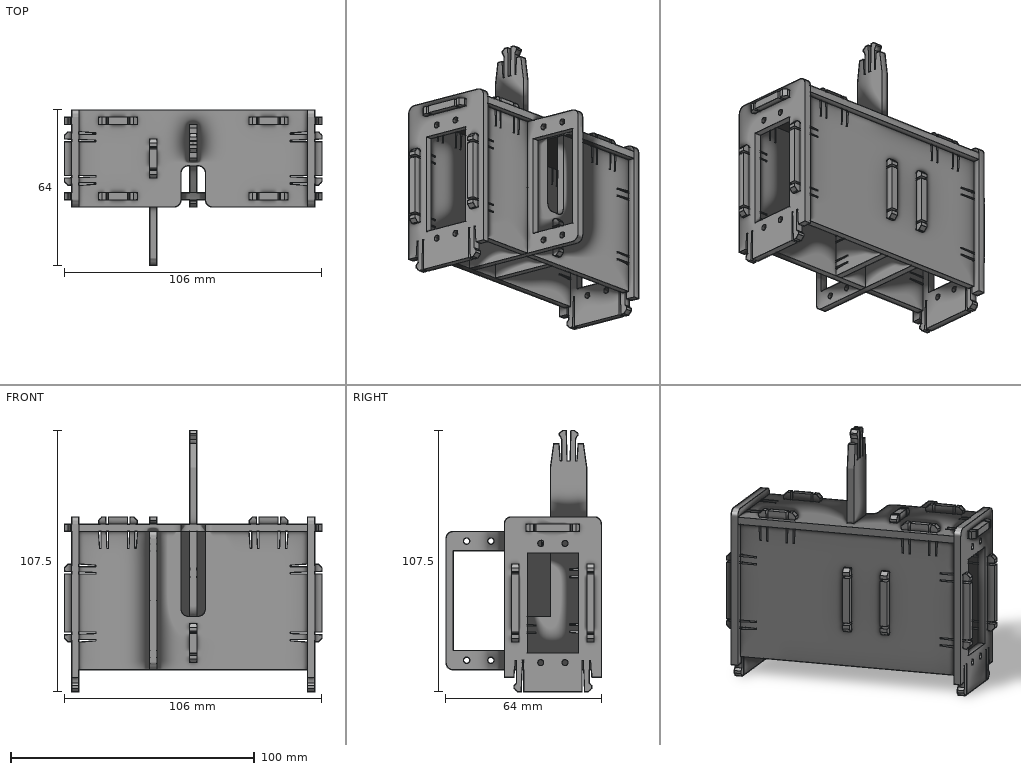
import cadquery as cq


PLATE = 3.0
INNER_LENGTH = 94.0
DEPTH = 40.0
WALL_HEIGHT = 57.0
WALL_INSET = PLATE
CORNER_RADIUS = 3.0
MID_DEPTH = DEPTH / 2
INNER_FRONT = WALL_INSET + PLATE
INNER_BACK = DEPTH - INNER_FRONT
WALL_CENTERS = (WALL_INSET + PLATE / 2, DEPTH - WALL_INSET - PLATE / 2)
END_CENTER = INNER_LENGTH / 2 + PLATE / 2
END_OVERHANG = PLATE
END_BOTTOM = -END_OVERHANG
END_TOP = WALL_HEIGHT + PLATE + END_OVERHANG

TAB_REACH = 2 * PLATE
TAB_ROOT = 7.0
PRONG_ZONE = 3.0
SLIT_ROOT = 0.5
SLIT_MOUTH = 1.0
BARB_REACH = 1.0
BARB_BEVEL = 0.49
BARB_NOSE = 1.5
BARB_BACK = 2.6
BARB_END = 3.7
SLOT_GAP = BARB_REACH * (BARB_END - PLATE) / (BARB_END - BARB_BACK)

WALL_END_TAB = 30.0
END_FOOT_TAB = WALL_END_TAB
BACK_TAB = 25.0
LID_END_TAB = 20.0
SMALL_TAB = 14.0
END_CENTER_Z = 27.5
LID_TAB_X = 31.0

CHANNEL_WIDTH = 10.0
CHANNEL_DEPTH = 17.0
CHANNEL_FLOOR = 22.0

SERVO_WIDTH = 21.0
SERVO_HEIGHT = 41.0
SCREW_PITCH = 10.0
SCREW_SPAN = 49.0
SCREW_DIAMETER = 2.5
BRACKET_X = -16.5
BRACKET_REACH = 24.0
BRACKET_RIM = 3.0

ARM_WIDTH = 15.0
ARM_TOP = 98.5
ARM_TAPER_DROP = 15.4
ARM_ROOT_DROP = 12.5
ARM_SHOULDER_DROP = 5.4
ARM_NOSE_DROP = 1.2
ARM_BACK_DROP = 1.8
ARM_KNEE_DROP = 2.6
ARM_END_DROP = 3.7
ARM_SHOULDER_HALF = 6.1
ARM_PRONG_HALF = 2.9
ARM_KNEE_HALF = 3.3
ARM_SLIT_TIP_HALF = 0.9
ARM_SLIT_ROOT_HALF = 0.58

X_AXIS = cq.Vector(1, 0, 0)
Y_AXIS = cq.Vector(0, 1, 0)
Z_AXIS = cq.Vector(0, 0, 1)


def block(x_range, y_range, z_range):
    """A box given by its limits along each axis."""
    limits = (x_range, y_range, z_range)
    size = [high - low for low, high in limits]
    middle = tuple((high + low) / 2 for low, high in limits)
    return cq.Workplane().box(*size).translate(middle)


def plate_x(x, y_range, z_range):
    """A plate square to X, centred at x."""
    return block((x - PLATE / 2, x + PLATE / 2), y_range, z_range)


def tab_plane(tab):
    """Local plane of a tab: origin mid-edge, x along the edge, y outward."""
    edge, outward, normal, _ = tab
    return cq.Workplane(cq.Plane(edge, outward.cross(normal), normal))


def add_tab(panel, tab):
    """Give a plate a snap tab: a solid middle between two barbed prongs."""
    width = tab[3]
    outer = width / 2
    middle = outer - PRONG_ZONE
    plane = tab_plane(tab)
    half = PLATE / 2
    solid_part = plane.center(0, TAB_REACH / 2).rect(2 * middle, TAB_REACH).extrude(half, both=True)
    panel = panel.union(solid_part)
    for side in (-1, 1):
        relief = [
            (middle, -TAB_ROOT),
            (outer + SLIT_ROOT, -TAB_ROOT),
            (outer + SLIT_MOUTH, 0),
            (middle, 0),
        ]
        prong = [
            (middle + SLIT_ROOT, -TAB_ROOT),
            (outer, -TAB_ROOT),
            (outer, TAB_REACH - BARB_END),
            (outer + BARB_REACH, TAB_REACH - BARB_BACK),
            (outer + BARB_REACH, TAB_REACH - BARB_NOSE),
            (outer - BARB_BEVEL, TAB_REACH),
            (middle + SLIT_MOUTH, TAB_REACH),
        ]
        panel = panel.cut(prism(plane, relief, side))
        panel = panel.union(prism(plane, prong, side))
    return panel


def prism(plane, points, side):
    """A plate-thick prism; side -1 mirrors its outline across the local y axis."""
    outline = [(side * u, v) for u, v in points]
    return plane.polyline(outline).close().extrude(PLATE / 2, both=True)


def cut_tab_slot(panel, tab):
    """Cut the opening through which a neighbouring plate's tab passes."""
    length = tab[3] + 2 * SLOT_GAP
    opening = tab_plane(tab).center(0, PLATE / 2).rect(length, PLATE).extrude(PLATE / 2, both=True)
    return panel.cut(opening)


def cut_servo_screws(panel, x, center_y, center_z):
    """Drill the four servo screw holes through a plate square to X."""
    holes = (
        cq.Workplane("YZ", origin=(x, center_y, center_z))
        .rect(SCREW_PITCH, SCREW_SPAN, forConstruction=True)
        .vertices()
        .circle(SCREW_DIAMETER / 2)
        .extrude(PLATE / 2, both=True)
    )
    return panel.cut(holes)


def wall_end_tab(side, y):
    return (cq.Vector(side * INNER_LENGTH / 2, y, END_CENTER_Z), X_AXIS * side, Y_AXIS, WALL_END_TAB)


def wall_lid_tab(side, y):
    return (cq.Vector(side * LID_TAB_X, y, WALL_HEIGHT), Z_AXIS, Y_AXIS, SMALL_TAB)


def lid_end_tab(side):
    edge = cq.Vector(side * INNER_LENGTH / 2, MID_DEPTH, WALL_HEIGHT + PLATE / 2)
    return (edge, X_AXIS * side, Z_AXIS, LID_END_TAB)


def end_foot_tab(side):
    return (cq.Vector(side * END_CENTER, MID_DEPTH, END_BOTTOM), -Z_AXIS, X_AXIS, END_FOOT_TAB)


def back_tab(x):
    return (cq.Vector(x, INNER_BACK, WALL_HEIGHT / 2), Y_AXIS, X_AXIS, BACK_TAB)


BRACKET_LID_TAB = (cq.Vector(BRACKET_X, MID_DEPTH, WALL_HEIGHT), Z_AXIS, X_AXIS, SMALL_TAB)
DIVIDER_FRONT_TAB = (cq.Vector(0, INNER_FRONT, CHANNEL_FLOOR / 2), -Y_AXIS, X_AXIS, SMALL_TAB)

ARM_RANGE = (INNER_BACK - ARM_WIDTH, INNER_BACK)


def make_wall(y):
    """A plain front or back wall with its end and lid tabs."""
    half_length = INNER_LENGTH / 2
    wall = block((-half_length, half_length), (y - PLATE / 2, y + PLATE / 2), (0, WALL_HEIGHT))
    for side in (-1, 1):
        wall = add_tab(wall, wall_end_tab(side, y))
        wall = add_tab(wall, wall_lid_tab(side, y))
    return wall


def make_front_wall():
    """Wall with the round-cornered channel, divider slot and bracket half-lap."""
    y_range = (WALL_INSET, INNER_FRONT)
    half_channel = CHANNEL_WIDTH / 2
    channel = block((-half_channel, half_channel), y_range, (CHANNEL_FLOOR, WALL_HEIGHT))
    channel = channel.edges("|Y and <Z").fillet(CORNER_RADIUS)
    wall = make_wall(WALL_CENTERS[0]).cut(channel)
    wall = cut_tab_slot(wall, DIVIDER_FRONT_TAB)
    return wall.cut(plate_x(BRACKET_X, y_range, (0, WALL_HEIGHT / 2)))


def make_back_wall():
    """Wall with slots for the bracket and the divider."""
    wall = make_wall(WALL_CENTERS[1])
    for x in (BRACKET_X, 0):
        wall = cut_tab_slot(wall, back_tab(x))
    return wall


def make_lid():
    """Top plate with the flared channel, tab slots and the arm opening."""
    z_range = (WALL_HEIGHT, WALL_HEIGHT + PLATE)
    half_length = INNER_LENGTH / 2
    half_channel = CHANNEL_WIDTH / 2
    lid = block((-half_length, half_length), (0, DEPTH), z_range)
    channel = block((-half_channel, half_channel), (0, CHANNEL_DEPTH), z_range)
    lid = lid.cut(channel.edges("|Z and >Y").fillet(CORNER_RADIUS))
    mouth = cq.selectors.BoxSelector(
        (-CHANNEL_WIDTH, -PLATE, WALL_HEIGHT - PLATE),
        (CHANNEL_WIDTH, PLATE, WALL_HEIGHT + 2 * PLATE),
    )
    lid = lid.edges("|Z").edges(mouth).fillet(CORNER_RADIUS)
    lid = cut_tab_slot(lid, BRACKET_LID_TAB)
    for side in (-1, 1):
        lid = add_tab(lid, lid_end_tab(side))
        for y in WALL_CENTERS:
            lid = cut_tab_slot(lid, wall_lid_tab(side, y))
    return lid.cut(plate_x(0, ARM_RANGE, z_range))


def make_end_plate(side):
    """End plate with a servo opening, slots for its neighbours and a foot tab."""
    x = side * END_CENTER
    plate = plate_x(x, (0, DEPTH), (END_BOTTOM, END_TOP))
    plate = plate.edges("|X and >Z").fillet(CORNER_RADIUS)
    opening = plate_x(
        x,
        (MID_DEPTH - SERVO_WIDTH / 2, MID_DEPTH + SERVO_WIDTH / 2),
        (END_CENTER_Z - SERVO_HEIGHT / 2, END_CENTER_Z + SERVO_HEIGHT / 2),
    )
    plate = plate.cut(opening)
    plate = cut_servo_screws(plate, x, MID_DEPTH, END_CENTER_Z)
    for y in WALL_CENTERS:
        plate = cut_tab_slot(plate, wall_end_tab(side, y))
    plate = cut_tab_slot(plate, lid_end_tab(side))
    return add_tab(plate, end_foot_tab(side))


def make_bracket():
    """Plate across the box that carries a servo in front of it."""
    bracket = plate_x(BRACKET_X, (-BRACKET_REACH, INNER_BACK), (0, WALL_HEIGHT))
    bracket = bracket.edges("|X and <Y").fillet(CORNER_RADIUS)
    opening_front = BRACKET_RIM - BRACKET_REACH
    center_z = WALL_HEIGHT / 2
    opening = plate_x(
        BRACKET_X,
        (opening_front, opening_front + SERVO_WIDTH),
        (center_z - SERVO_HEIGHT / 2, center_z + SERVO_HEIGHT / 2),
    )
    bracket = bracket.cut(opening)
    bracket = cut_servo_screws(bracket, BRACKET_X, opening_front + SERVO_WIDTH / 2, center_z)
    bracket = bracket.cut(plate_x(BRACKET_X, (WALL_INSET, INNER_FRONT), (WALL_HEIGHT / 2, WALL_HEIGHT)))
    bracket = add_tab(bracket, back_tab(BRACKET_X))
    return add_tab(bracket, BRACKET_LID_TAB)


def make_arm():
    """Upright arm that ends in two barbed prongs between two tapered shoulders."""
    arm_half = ARM_WIDTH / 2
    root = ARM_TOP - ARM_ROOT_DROP
    shoulder = ARM_TOP - ARM_SHOULDER_DROP
    barb_half = ARM_PRONG_HALF + BARB_REACH
    right_side = [
        (arm_half, 0),
        (arm_half, ARM_TOP - ARM_TAPER_DROP),
        (ARM_SHOULDER_HALF, shoulder),
        (ARM_PRONG_HALF + SLIT_MOUTH, shoulder),
        (ARM_PRONG_HALF + SLIT_ROOT, root),
        (ARM_PRONG_HALF, root),
        (ARM_PRONG_HALF, ARM_TOP - ARM_END_DROP),
        (ARM_KNEE_HALF, ARM_TOP - ARM_KNEE_DROP),
        (barb_half, ARM_TOP - ARM_BACK_DROP),
        (barb_half, ARM_TOP - ARM_NOSE_DROP),
        (ARM_PRONG_HALF - BARB_BEVEL, ARM_TOP),
        (ARM_SLIT_TIP_HALF, ARM_TOP),
        (ARM_SLIT_ROOT_HALF, root),
    ]
    left_side = [(-u, v) for u, v in reversed(right_side)]
    arm_center = (ARM_RANGE[0] + ARM_RANGE[1]) / 2
    plane = cq.Workplane("YZ", origin=(0, arm_center, 0))
    return prism(plane, right_side + left_side, 1)


def make_divider():
    """L-shaped plate: a foot between the walls and an arm through the lid."""
    foot = plate_x(0, (INNER_FRONT, INNER_BACK), (0, CHANNEL_FLOOR))
    divider = make_arm().union(foot)
    divider = add_tab(divider, DIVIDER_FRONT_TAB)
    return add_tab(divider, back_tab(0))


lid = make_lid()
front_wall = make_front_wall()
back_wall = make_back_wall()
end_plates = [make_end_plate(side) for side in (-1, 1)]
bracket = make_bracket()
divider = make_divider()

result = cq.Compound.makeCompound(
    [
        lid.val(),
        front_wall.val(),
        back_wall.val(),
        *[plate.val() for plate in end_plates],
        bracket.val(),
        divider.val(),
    ]
)